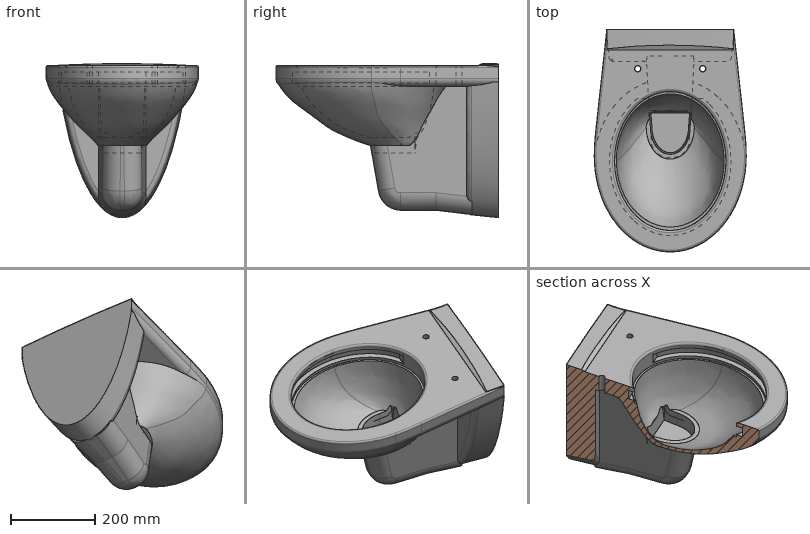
import cadquery as cq
import math


length = 529.0
width = 361.0
height = 366.0

selection_margin = 0.5

deck_top = 361.0
deck_bottom = 312.0
wall_half_width = 150.5
widest_y = -301.5
taper_end = (176.0, -232.5)
deck_top_radius = 4.0
deck_bottom_radius = 18.5

ridge_flat = 37.5
ridge_foot = 48.5
ridge_end_z = 362.5
ridge_buried_z = 349.0

bolt_diameter = 14.0
bolt_spacing = 154.5
bolt_y = -93.5

skirt_depth = 76.5
skirt_half_width = 163.0
skirt_ellipse_height = 513.0
skirt_bottom_rise = 8.0
skirt_draft = 5.0
skirt_top = 322.5
skirt_radius = 13.0

pedestal_wall_half_width = 57.0
pedestal_front_half_width = 43.5
pedestal_wall_y = -63.5
pedestal_slope_end_y = -148.0
pedestal_bottom = 17.5
pedestal_toe_y = -277.0
pedestal_toe_radius = 55.5
pedestal_front_y = -305.5
pedestal_front_top = 180.0
pedestal_edge_radius = 42.0
web_front_y = -190.5
pedestal_buried_z = 317.5

bowl_sections = [
    (336.0, 180.0, -528.0, -106.0, -301.5),
    (320.0, 177.5, -524.5, -111.0, -301.5),
    (301.5, 170.5, -512.0, -124.5, -301.5),
    (283.0, 159.0, -495.5, -136.5, -296.0),
    (259.0, 140.5, -466.0, -148.0, -291.0),
    (230.0, 115.5, -426.5, -163.0, -280.5),
    (201.0, 86.0, -381.0, -173.5, -256.5),
    (182.5, 66.5, -337.0, -181.5, -238.0),
    (172.0, 57.0, -305.5, -193.0, -232.5),
]

opening_bottom = 312.0
cavity_sections = [
    (opening_bottom, 128.0, -469.5, -153.5, -312.0),
    (249.5, 109.0, -424.0, -164.0, -296.0),
    (190.5, 57.0, -308.5, -193.0, -232.5),
]

opening_half_width = 132.0
opening_front_y = -477.5
opening_back_y = -148.0
lip_radius = 5.5
lip_bottom = 346.5
shelf_z = 320.0
channel_depth = 12.0
channel_back_y = -164.0

sump_floor = 153.5
sump_height = 47.5
sump_flare = 6.0
sump_half_width = 46.0
sump_shoulder_half_width = 43.5
sump_back_y = -198.5
sump_shoulder_y = -232.5
sump_front_y = -293.0


def egg(z, half_width, front_y, back_y, middle_y):
    """Closed outline at height z made of a front and a back half ellipse."""
    return (
        cq.Workplane("XY", origin=(0, 0, z))
        .moveTo(-half_width, middle_y)
        .ellipseArc(half_width, middle_y - front_y, 180, 360)
        .ellipseArc(half_width, back_y - middle_y, 0, 180)
        .wire()
        .val()
    )


def egg_loft(sections):
    """Smooth body through a stack of egg outlines."""
    wires = [egg(*section) for section in sections]
    return cq.Workplane(cq.Solid.makeLoft(wires, False))


def egg_prism(bottom, top, half_width, front_y, back_y):
    """Upright elliptical body between two heights."""
    middle_y = (front_y + back_y) / 2
    outline = egg(bottom, half_width, front_y, back_y, middle_y)
    return cq.Workplane(cq.Solid.extrudeLinear(outline, [], cq.Vector(0, 0, top - bottom)))


def make_deck():
    """Slab with tapering sides and a half-elliptical front, flush with the wall."""
    half_width = width / 2
    front_depth = length + widest_y
    taper = (taper_end[0] - wall_half_width, taper_end[1])
    deck = (
        cq.Workplane("XY", origin=(0, 0, deck_bottom))
        .moveTo(wall_half_width, 0)
        .lineTo(-wall_half_width, 0)
        .lineTo(-taper_end[0], taper_end[1])
        .spline([(-half_width, widest_y)], tangents=[(-taper[0], taper[1]), (0, -1)], includeCurrent=True)
        .ellipseArc(half_width, front_depth, 180, 360)
        .spline([taper_end], tangents=[(0, 1), (-taper[0], -taper[1])], includeCurrent=True)
        .close()
        .extrude(deck_top - deck_bottom)
    )
    not_at_wall = cq.selectors.BoxSelector((-width, -length, 0), (width, -selection_margin, height))
    deck = deck.faces("<Z").edges(not_at_wall).fillet(deck_bottom_radius)
    return deck.faces(">Z").edges(not_at_wall).fillet(deck_top_radius)


def make_ridge():
    """Strip along the wall: a slope at its front, crowned across its width."""
    strip = (
        cq.Workplane("YZ", origin=(-wall_half_width, 0, 0))
        .moveTo(0, ridge_buried_z)
        .lineTo(0, height)
        .lineTo(-ridge_flat, height)
        .lineTo(-ridge_foot, deck_top)
        .lineTo(-ridge_foot, ridge_buried_z)
        .close()
        .extrude(2 * wall_half_width)
    )
    crown = (
        cq.Workplane("XZ")
        .moveTo(-wall_half_width, ridge_buried_z)
        .lineTo(-wall_half_width, ridge_end_z)
        .threePointArc((0, height), (wall_half_width, ridge_end_z))
        .lineTo(wall_half_width, ridge_buried_z)
        .close()
        .extrude(ridge_foot)
    )
    return strip.intersect(crown)


def skirt_outline(y, bottom, half_width):
    """Lower half ellipse cut off at the top of the skirt."""
    semi_height = skirt_ellipse_height - bottom
    drop = math.asin((skirt_ellipse_height - skirt_top) / semi_height)
    end_x = half_width * math.cos(drop)
    return (
        cq.Workplane("XZ", origin=(0, y, 0))
        .moveTo(-end_x, skirt_top)
        .ellipseArc(half_width, semi_height, 180 + math.degrees(drop), 360 - math.degrees(drop))
        .close()
        .wire()
        .val()
    )


def make_skirt():
    """Plate against the wall, narrowing and rising a little towards its front face."""
    outlines = [
        skirt_outline(0, 0, skirt_half_width),
        skirt_outline(-skirt_depth, skirt_bottom_rise, skirt_half_width - skirt_draft),
    ]
    skirt = cq.Workplane(cq.Solid.makeLoft(outlines, True))
    return skirt.faces("<Y").edges("not |X").fillet(skirt_radius)


def make_pedestal():
    """Side profile with a rising underside and a leaning front, rounded along both."""
    wall_bottom = pedestal_bottom * pedestal_wall_y / pedestal_slope_end_y
    profile = (
        cq.Workplane("YZ")
        .moveTo(pedestal_wall_y, pedestal_buried_z)
        .lineTo(pedestal_wall_y, wall_bottom)
        .lineTo(pedestal_slope_end_y, pedestal_bottom)
        .lineTo(pedestal_toe_y, pedestal_bottom)
        .lineTo(pedestal_front_y, pedestal_front_top)
        .lineTo(web_front_y, pedestal_buried_z)
        .close()
        .extrude(pedestal_wall_half_width, both=True)
    )
    plan = (
        cq.Workplane("XY")
        .moveTo(-pedestal_wall_half_width, pedestal_wall_y)
        .lineTo(pedestal_wall_half_width, pedestal_wall_y)
        .lineTo(pedestal_front_half_width, pedestal_front_y)
        .lineTo(-pedestal_front_half_width, pedestal_front_y)
        .close()
        .extrude(pedestal_buried_z)
    )
    toe = cq.selectors.NearestToPointSelector((0, pedestal_toe_y, pedestal_bottom))
    pedestal = profile.edges("|X").edges(toe).fillet(pedestal_toe_radius).intersect(plan)
    underside_and_front = cq.selectors.BoxSelector(
        (-width, pedestal_front_y, 0),
        (width, pedestal_wall_y - selection_margin, pedestal_front_top - selection_margin),
    )
    return pedestal.edges(underside_and_front).edges("not |X").fillet(pedestal_edge_radius)


def make_bolt_holes():
    return (
        cq.Workplane("XY", origin=(0, bolt_y, deck_bottom))
        .pushPoints([(-bolt_spacing / 2, 0), (bolt_spacing / 2, 0)])
        .circle(bolt_diameter / 2)
        .extrude(height - deck_bottom)
    )


def make_sump():
    """Straight at the back, rounded at the front, widening upwards from a flat floor."""
    return (
        cq.Workplane("XY", origin=(0, 0, sump_floor))
        .moveTo(-sump_half_width, sump_back_y)
        .lineTo(sump_half_width, sump_back_y)
        .lineTo(sump_shoulder_half_width, sump_shoulder_y)
        .ellipseArc(sump_shoulder_half_width, sump_shoulder_y - sump_front_y, 180, 360, sense=-1)
        .close()
        .extrude(sump_height, taper=-sump_flare)
    )


def make_channel():
    """Groove behind the lip, open all round but for the back of the bowl."""
    groove = egg_prism(
        shelf_z,
        lip_bottom,
        opening_half_width + channel_depth,
        opening_front_y - channel_depth,
        opening_back_y + channel_depth,
    )
    front_part = (
        cq.Workplane("XY", origin=(0, channel_back_y - length / 2, 0))
        .box(width, length, height, centered=(True, True, False))
    )
    return groove.intersect(front_part)


def make_opening():
    return egg_prism(opening_bottom, deck_top, opening_half_width, opening_front_y, opening_back_y)


def round_lip(pan):
    """Round the edge where the opening breaks through the deck."""
    opening_rim = cq.selectors.BoxSelector(
        (-opening_half_width - lip_radius, opening_front_y - lip_radius, deck_top - selection_margin),
        (opening_half_width + lip_radius, opening_back_y + lip_radius, deck_top + selection_margin),
    )
    return pan.edges(opening_rim).fillet(lip_radius)


pan = make_deck().union(make_ridge()).union(make_skirt())
pan = pan.union(egg_loft(bowl_sections)).union(make_pedestal())
pan = pan.cut(egg_loft(cavity_sections)).cut(make_sump()).cut(make_opening())
pan = round_lip(pan)
result = pan.cut(make_channel()).cut(make_bolt_holes())